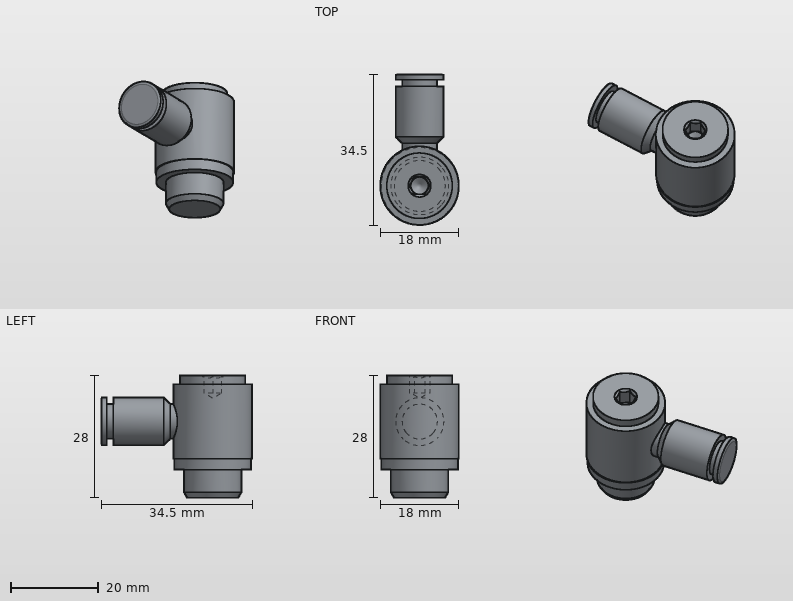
import cadquery as cq
import math

overall_length = 34.5
height = 28.0
body_radius = 9.0
cap_radius = 7.5
cap_height = 2.0
collar_radius = 8.8
collar_bottom = 6.5
collar_top = 8.97
stud_radius = 6.6
stud_tip_radius = 5.83
stud_chamfer_height = 1.35

branch_height = 17.5
branch_radius = 5.5
neck_radius = 4.0
cone_start = 9.65
cone_end = 11.18
groove_start = 22.65
flange_start = 24.2
branch_end = overall_length - body_radius
lip_radius = 4.8
lip_length = 0.2

socket_flats = 4.0
socket_depth = 4.0
countersink_radius = 2.6
drill_point_angle = 118.0


def make_body():
    """Turned stud, collar, body and cap on the Z axis."""
    cap_bottom = height - cap_height
    profile = [
        (0, 0),
        (stud_tip_radius, 0),
        (stud_radius, stud_chamfer_height),
        (stud_radius, collar_bottom),
        (collar_radius, collar_bottom),
        (collar_radius, collar_top),
        (body_radius, collar_top),
        (body_radius, cap_bottom),
        (cap_radius, cap_bottom),
        (cap_radius, height),
        (0, height),
    ]
    return cq.Workplane("XZ").polyline(profile).close().revolve(360, (0, 0), (0, 1))


def make_branch():
    """Turned tube connector, from the body axis out to its release flange."""
    profile = [
        (0, 0),
        (neck_radius, 0),
        (neck_radius, cone_start),
        (branch_radius, cone_end),
        (branch_radius, groove_start),
        (neck_radius, groove_start),
        (neck_radius, flange_start),
        (branch_radius, flange_start),
        (branch_radius, branch_end - lip_length),
        (lip_radius, branch_end),
        (0, branch_end),
    ]
    branch = cq.Workplane("XY").polyline(profile).close().revolve(360, (0, 0), (0, 1))
    return branch.translate((0, 0, branch_height))


def make_socket():
    """Hexagonal pocket with a 45 degree countersink and a drill-point bottom."""
    flat_radius = socket_flats / 2
    corner_diameter = socket_flats / math.cos(math.radians(30))
    hexagon = (
        cq.Workplane("XY")
        .workplane(offset=height)
        .polygon(6, corner_diameter)
        .extrude(-socket_depth)
    )
    floor = height - socket_depth
    point_depth = flat_radius / math.tan(math.radians(drill_point_angle / 2))
    bore_profile = [
        (0, floor - point_depth),
        (flat_radius, floor),
        (flat_radius, height - (countersink_radius - flat_radius)),
        (countersink_radius, height),
        (0, height),
    ]
    bore = cq.Workplane("XZ").polyline(bore_profile).close().revolve(360, (0, 0), (0, 1))
    return hexagon.union(bore)


result = make_body().union(make_branch()).cut(make_socket())